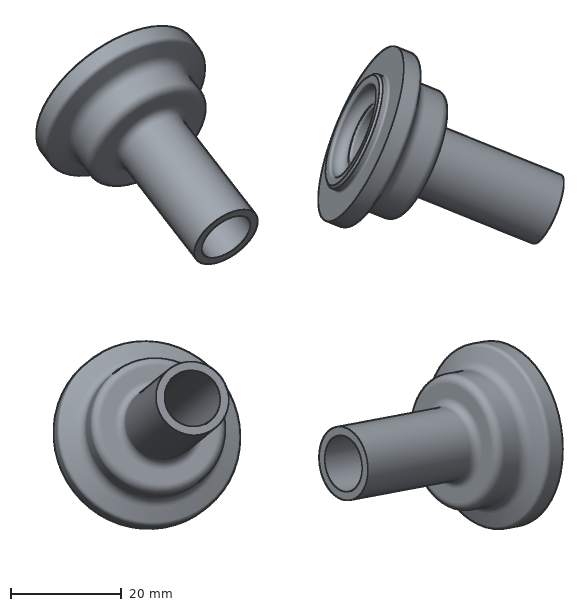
import cadquery as cq
import math

total_length = 39.5
flange_front = 1.75
hub_end = 13.5

flange_radius = 34.0 / 2
rim_radius = 22.3 / 2
hub_radius = 25.0 / 2
tube_radius = 13.5 / 2
bore_radius = 10.3 / 2

rim_chamfer = 0.47
rim_root_fillet = 0.4

slope_angle = math.radians(20)
flange_edge_fillet = 0.83
neck_fillet = 1.98
neck_end = 8.3

hub_edge_fillet = 1.55
tube_root_fillet = 1.55

groove_center = (0.95, 7.25)
groove_inner_radius = 6.2
groove_arc_radius = 1.78
groove_mouth_fillet = 0.47
lip_outer_fillet = 0.55
lip_bore_fillet = 0.47

mouth_center_distance = groove_arc_radius + groove_mouth_fillet
mouth_tilt = math.asin((groove_center[0] - groove_mouth_fillet) / mouth_center_distance)
mouth_center = (
    groove_mouth_fillet,
    groove_center[1] + mouth_center_distance * math.cos(mouth_tilt),
)
lip_tilt = math.asin((groove_center[1] - groove_inner_radius) / groove_arc_radius)
lip_center_distance = groove_arc_radius + lip_outer_fillet
lip_outer_center = (
    groove_center[0] + lip_center_distance * math.cos(lip_tilt),
    groove_center[1] - lip_center_distance * math.sin(lip_tilt),
)
lip_front = lip_outer_center[0] - lip_outer_fillet


def arc_point(center_x, center_radius, arc_radius, angle):
    """Point on a profile arc, with the angle measured from the +X direction."""
    return (
        center_x + arc_radius * math.cos(angle),
        center_radius + arc_radius * math.sin(angle),
    )


def rounded_corner(profile, center, arc_radius, start, end):
    """Add an arc from the start angle to the end angle, in degrees."""
    middle_point = arc_point(*center, arc_radius, math.radians((start + end) / 2))
    end_point = arc_point(*center, arc_radius, math.radians(end))
    return profile.threePointArc(middle_point, end_point)


slope_degrees = math.degrees(slope_angle)
neck_center = (neck_end, hub_radius + neck_fillet)
slope_foot = arc_point(*neck_center, neck_fillet, math.pi + slope_angle)
edge_center_radius = flange_radius - flange_edge_fillet
slope_top_radius = edge_center_radius + flange_edge_fillet * math.sin(slope_angle)
slope_top_x = slope_foot[0] - (slope_top_radius - slope_foot[1]) * math.tan(slope_angle)
edge_center = (slope_top_x - flange_edge_fillet * math.cos(slope_angle), edge_center_radius)

profile = (
    cq.Workplane("XY")
    .moveTo(0, mouth_center[1])
    .lineTo(0, rim_radius - rim_chamfer)
    .lineTo(rim_chamfer, rim_radius)
    .lineTo(flange_front - rim_root_fillet, rim_radius)
)
rim_root_center = (flange_front - rim_root_fillet, rim_radius + rim_root_fillet)
profile = rounded_corner(profile, rim_root_center, rim_root_fillet, 270, 360)

profile = profile.lineTo(flange_front, flange_radius).lineTo(edge_center[0], flange_radius)
profile = rounded_corner(profile, edge_center, flange_edge_fillet, 90, slope_degrees)
profile = profile.lineTo(*slope_foot)
profile = rounded_corner(profile, neck_center, neck_fillet, 180 + slope_degrees, 270)

hub_edge_center = (hub_end - hub_edge_fillet, hub_radius - hub_edge_fillet)
profile = profile.lineTo(hub_edge_center[0], hub_radius)
profile = rounded_corner(profile, hub_edge_center, hub_edge_fillet, 90, 0)

tube_root_center = (hub_end + tube_root_fillet, tube_radius + tube_root_fillet)
profile = profile.lineTo(hub_end, tube_root_center[1])
profile = rounded_corner(profile, tube_root_center, tube_root_fillet, 180, 270)
profile = (
    profile.lineTo(total_length, tube_radius)
    .lineTo(total_length, bore_radius)
    .lineTo(lip_front + lip_bore_fillet, bore_radius)
)

lip_bore_center = (lip_front + lip_bore_fillet, bore_radius + lip_bore_fillet)
profile = rounded_corner(profile, lip_bore_center, lip_bore_fillet, 270, 180)
lip_tilt_degrees = math.degrees(lip_tilt)
profile = profile.lineTo(lip_front, lip_outer_center[1])
profile = rounded_corner(profile, lip_outer_center, lip_outer_fillet, 180, 180 - lip_tilt_degrees)

mouth_tilt_degrees = math.degrees(mouth_tilt)
profile = rounded_corner(
    profile, groove_center, groove_arc_radius, -lip_tilt_degrees, 90 + mouth_tilt_degrees
)
profile = rounded_corner(
    profile, mouth_center, groove_mouth_fillet, 270 + mouth_tilt_degrees, 180
)

result = profile.close().revolve(360, (0, 0, 0), (1, 0, 0))